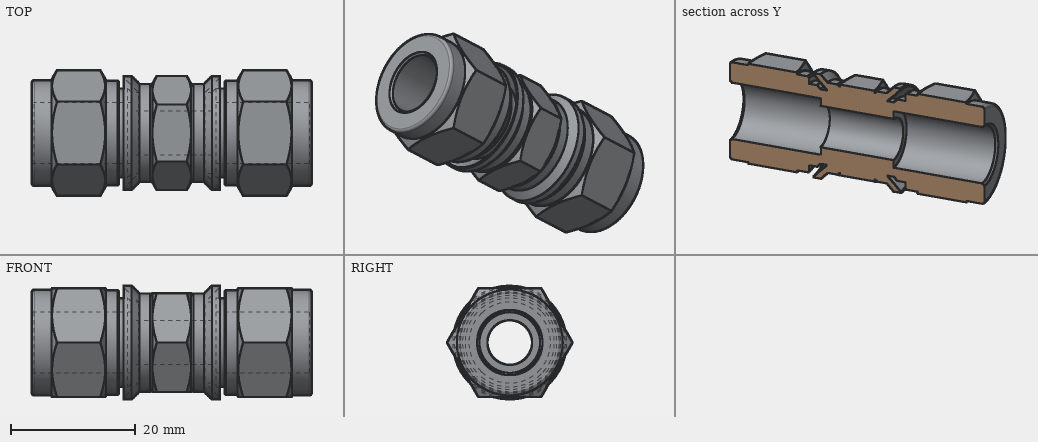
import cadquery as cq
import math


LENGTH = 44.93
NUT_CORNERS = 20.16
BODY_HEX_FLATS = 15.875
BODY_HEX_CORNERS = BODY_HEX_FLATS / math.cos(math.radians(30))
HEX_BEVEL = math.radians(30)

NUT_DIA = 17.0
COLLAR_DIA = 16.8
NECK_DIA = 14.28
FLANGE_DIA = 18.25
BODY_DIA = 15.8
RELIEF_DIA = 13.05
TUBE_SOCKET_DIA = 9.73
BORE_DIA = 7.11

BODY_HEX_HALF = 3.1
SHOULDER_LENGTH = 2.09
FLANGE_RIM = 1.29
NECK_LENGTH = 0.74
FLANGE_LIP = 0.25
NECK_SETBACK = 0.65
NUT_COLLAR = 2.1
NUT_HEX_LENGTH = 8.76
TUBE_SOCKET_DEPTH = 16.0

SHOULDER_CHAMFER = 0.35
COLLAR_CHAMFER = 0.25
NUT_END_FILLET = 0.5
SOCKET_CHAMFER = 0.38

CONE_START = BODY_HEX_HALF + SHOULDER_LENGTH
CONE_END = CONE_START + (FLANGE_DIA - BODY_DIA) / 2
NECK_START = CONE_END + FLANGE_RIM
DISH_DEPTH = (FLANGE_DIA - RELIEF_DIA) / 2 - FLANGE_LIP
NECK_END = NECK_START - NECK_SETBACK
RELIEF_END = NECK_END - (NECK_DIA - RELIEF_DIA) / 2
COLLAR_START = NECK_START + NECK_LENGTH
NUT_HEX_START = COLLAR_START + NUT_COLLAR
NUT_HEX_END = NUT_HEX_START + NUT_HEX_LENGTH
END = LENGTH / 2


def revolve_about_x(profile):
    """Turn a closed (x, radius) profile about the X axis."""
    return profile.close().revolve(360, (0, 0, 0), (1, 0, 0))


def cylinder(start, end, diameter):
    return cq.Workplane("YZ").workplane(offset=start).circle(diameter / 2).extrude(end - start)


def beveled_hex(start, end, corners, bevel_dia):
    """Hexagonal bar whose corners are turned off by a cone at each end."""
    corner_radius = corners / 2
    bevel_radius = bevel_dia / 2
    bevel_length = (corner_radius - bevel_radius) * math.tan(HEX_BEVEL)
    prism = cq.Workplane("YZ").workplane(offset=start).polygon(6, corners).extrude(end - start)
    envelope = revolve_about_x(
        cq.Workplane("XY")
        .moveTo(start, 0)
        .lineTo(start, bevel_radius)
        .lineTo(start + bevel_length, corner_radius)
        .lineTo(end - bevel_length, corner_radius)
        .lineTo(end, bevel_radius)
        .lineTo(end, 0)
    )
    return prism.intersect(envelope)


def body_side():
    """Turned shoulder, dished conical flange, relief groove and neck on the +X side."""
    body_radius = BODY_DIA / 2
    flange_radius = FLANGE_DIA / 2
    neck_radius = NECK_DIA / 2
    relief_radius = RELIEF_DIA / 2
    return revolve_about_x(
        cq.Workplane("XY")
        .moveTo(0, 0)
        .lineTo(0, body_radius - SHOULDER_CHAMFER)
        .lineTo(BODY_HEX_HALF, body_radius - SHOULDER_CHAMFER)
        .lineTo(BODY_HEX_HALF + SHOULDER_CHAMFER, body_radius)
        .lineTo(CONE_START, body_radius)
        .lineTo(CONE_END, flange_radius)
        .lineTo(NECK_START, flange_radius)
        .lineTo(NECK_START, flange_radius - FLANGE_LIP)
        .lineTo(NECK_START - DISH_DEPTH, relief_radius)
        .lineTo(RELIEF_END, relief_radius)
        .lineTo(NECK_END, neck_radius)
        .lineTo(NUT_HEX_START, neck_radius)
        .lineTo(NUT_HEX_START, 0)
    )


def nut():
    """Nut on the +X side: round collar, hexagon and rounded outer end."""
    collar = cylinder(COLLAR_START, NUT_HEX_END, COLLAR_DIA)
    collar = collar.faces("<X").chamfer(COLLAR_CHAMFER)
    hexagon = beveled_hex(NUT_HEX_START, NUT_HEX_END, NUT_CORNERS, NUT_DIA)
    end_barrel = cylinder(NUT_HEX_START, END, NUT_DIA)
    end_barrel = end_barrel.faces(">X").edges().fillet(NUT_END_FILLET)
    return collar.union(hexagon).union(end_barrel)


def tube_socket():
    """Cutter for the chamfered tube socket in the +X end."""
    socket_radius = TUBE_SOCKET_DIA / 2
    floor = END - TUBE_SOCKET_DEPTH
    return revolve_about_x(
        cq.Workplane("XY")
        .moveTo(floor, 0)
        .lineTo(floor, socket_radius)
        .lineTo(END - SOCKET_CHAMFER, socket_radius)
        .lineTo(END, socket_radius + SOCKET_CHAMFER)
        .lineTo(END, 0)
    )


half_fitting = body_side().union(nut()).cut(tube_socket())
central_hex = beveled_hex(-BODY_HEX_HALF, BODY_HEX_HALF, BODY_HEX_CORNERS, BODY_HEX_FLATS)

result = (
    central_hex
    .union(half_fitting)
    .union(half_fitting.mirror("YZ"))
    .cut(cylinder(-END, END, BORE_DIA))
)